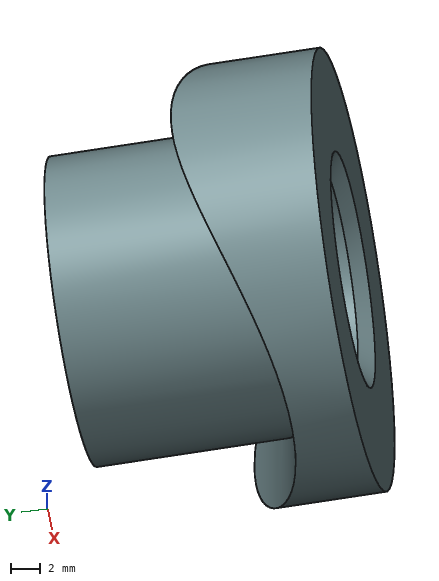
import cadquery as cq

flange_diameter = 30.0
spigot_diameter = 21.0
bore_diameter = 14.0
total_length = 19.0
bore_chamfer = 1.0

tube_radius = 24.15
flange_thickness_at_centre = 4.32


def cylinder_along_y(diameter, length):
    """Solid cylinder from the front face towards +Y."""
    return cq.Workplane("XZ").circle(diameter / 2).extrude(-length)


def saddle_flange():
    """Disc whose back face is cut by the tube surface."""
    tube_axis_y = flange_thickness_at_centre + tube_radius
    tube = (
        cq.Workplane("XY")
        .center(0, tube_axis_y)
        .circle(tube_radius)
        .extrude(flange_diameter, both=True)
    )
    return cylinder_along_y(flange_diameter, total_length).cut(tube)


def chamfered_bore():
    """Through bore with a conical lead-in at the front face."""
    bore = cylinder_along_y(bore_diameter, total_length)
    lead_in = cq.Workplane("XY").add(
        cq.Solid.makeCone(
            bore_diameter / 2 + bore_chamfer,
            bore_diameter / 2,
            bore_chamfer,
            cq.Vector(0, 0, 0),
            cq.Vector(0, 1, 0),
        )
    )
    return bore.union(lead_in)


spigot = cylinder_along_y(spigot_diameter, total_length)
result = saddle_flange().union(spigot).cut(chamfered_bore())